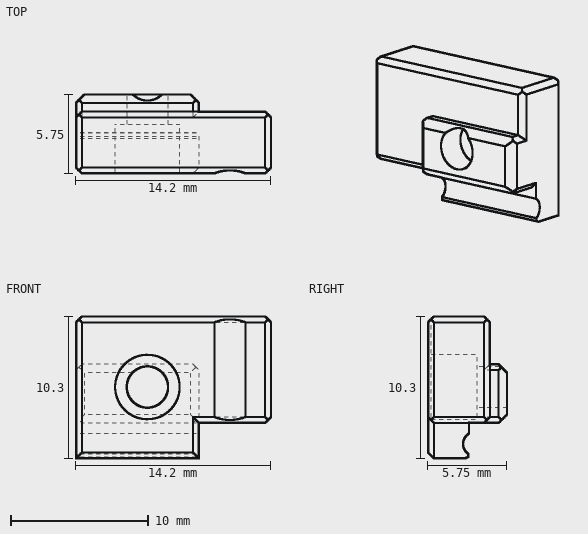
import cadquery as cq

length = 14.2
block_depth = 4.5
height = 10.34
edge_chamfer = 0.43

leg_length = 8.95
leg_depth = 2.98
leg_height = 2.58

boss_back = 5.75
boss_top = 6.86
boss_back_chamfer = 0.61

hole_x = 5.2
hole_z = 5.2
hole_diameter = 3.0
counterbore_diameter = 4.7
counterbore_depth = 3.55

front_groove_x = 11.2
front_groove_width = 2.25
front_groove_depth = 0.21

leg_groove_z = 1.05
leg_groove_width = 1.5
leg_groove_depth = 0.43

lip_setback = 0.04
lip_bevel_depth = 0.25
lip_bevel_height = 0.1


def box_between(low, high):
    """Box spanning two opposite corners."""
    size = [b - a for a, b in zip(low, high)]
    return cq.Workplane("XY").box(*size, centered=False).translate(low)


def groove_radius(width, depth):
    """Radius of the arc with the given chord and sagitta."""
    return (width**2 / 4 + depth**2) / (2 * depth)


def make_block():
    block = box_between((0, 0, leg_height), (length, block_depth, height))
    along_x = block.edges("|X").chamfer(edge_chamfer)
    along_y = block.edges("|Y").chamfer(edge_chamfer)
    along_z = block.edges("|Z").chamfer(edge_chamfer)
    return along_x.intersect(along_y).intersect(along_z)


def make_leg():
    leg = box_between((0, 0, 0), (leg_length, leg_depth, boss_top))
    return leg.faces("<Y").edges("not >Z").chamfer(edge_chamfer)


def make_boss():
    boss = box_between((0, leg_depth, leg_height), (leg_length, boss_back, boss_top))
    side_bevels = boss.edges("|Y").chamfer(edge_chamfer)
    back_bevels = boss.faces(">Y").edges().chamfer(boss_back_chamfer)
    return side_bevels.intersect(back_bevels)


def make_hole():
    mouth = cq.Workplane("XZ", origin=(hole_x, 0, hole_z))
    hole = mouth.circle(hole_diameter / 2).extrude(-boss_back)
    counterbore = mouth.circle(counterbore_diameter / 2).extrude(-counterbore_depth)
    return hole.union(counterbore)


def make_front_groove():
    radius = groove_radius(front_groove_width, front_groove_depth)
    axis_y = front_groove_depth - radius
    return cq.Workplane("XY").center(front_groove_x, axis_y).circle(radius).extrude(height)


def make_leg_groove():
    radius = groove_radius(leg_groove_width, leg_groove_depth)
    axis_y = leg_depth - leg_groove_depth + radius
    return cq.Workplane("YZ").center(axis_y, leg_groove_z).circle(radius).extrude(leg_length)


def make_lip_trim():
    lip_back = leg_depth - lip_setback
    outline = [
        (lip_back - lip_bevel_depth, 0),
        (lip_back, lip_bevel_height),
        (lip_back, leg_groove_z),
        (leg_depth, leg_groove_z),
        (leg_depth, 0),
    ]
    return cq.Workplane("YZ").polyline(outline).close().extrude(leg_length)


leg = make_leg().cut(make_leg_groove()).cut(make_lip_trim())
body = make_block().union(leg).union(make_boss())
result = body.cut(make_hole()).cut(make_front_groove())